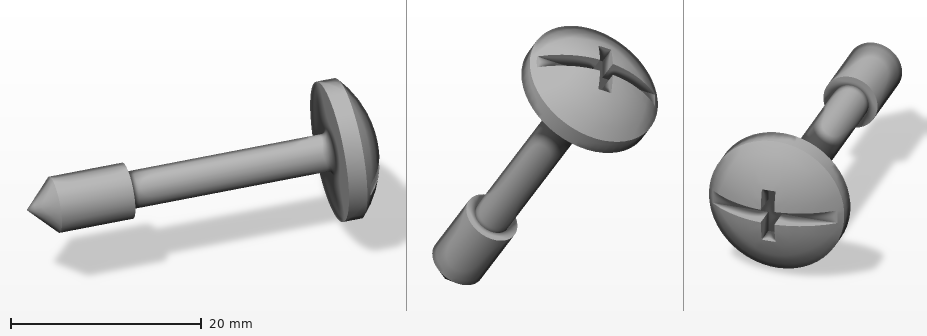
import cadquery as cq
import math

head_diameter = 15.0
rim_thickness = 2.0
dome_height = 3.022
shank_diameter = 4.0
shank_length = 22.0
neck_fillet = 0.5
tip_diameter = 6.0
tip_length = 8.0
point_height = 3.0

slot_width = 1.5
floor_above_rim = 0.5
cross_arm_length = 6.0

head_radius = head_diameter / 2
shank_radius = shank_diameter / 2
tip_radius = tip_diameter / 2
head_top = rim_thickness + dome_height
recess_floor = rim_thickness + floor_above_rim
slot_depth = head_top - recess_floor
tip_start = -shank_length
tip_end = tip_start - tip_length
point_end = tip_end - point_height
dome_radius = (head_radius**2 + dome_height**2) / (2 * dome_height)


def dome_point(radius):
    """Point of the dome profile at the given distance from the axis."""
    return (radius, head_top - dome_radius + math.sqrt(dome_radius**2 - radius**2))


def neck_midpoint():
    """Middle of the quarter arc that blends the shank into the head."""
    inset = neck_fillet * math.sin(math.radians(45))
    return (shank_radius + neck_fillet - inset, -neck_fillet + inset)


def make_body():
    """Head, shank and pointed tip, revolved about the Y axis."""
    profile = (
        cq.Workplane("XY")
        .moveTo(0, point_end)
        .lineTo(tip_radius, tip_end)
        .lineTo(tip_radius, tip_start)
        .lineTo(shank_radius, tip_start)
        .lineTo(shank_radius, -neck_fillet)
        .threePointArc(neck_midpoint(), (shank_radius + neck_fillet, 0))
        .lineTo(head_radius, 0)
        .lineTo(head_radius, rim_thickness)
        .threePointArc(dome_point(head_radius / 2), (0, head_top))
        .close()
    )
    return profile.revolve(360, (0, 0), (0, 1))


def recess_arm(size_x, size_z):
    """Rectangular cutter reaching from the top of the head to the recess floor."""
    return (
        cq.Workplane("XY")
        .box(size_x, slot_depth, size_z, centered=(True, False, True))
        .translate((0, recess_floor, 0))
    )


through_slot = recess_arm(head_diameter, slot_width)
cross_arm = recess_arm(slot_width, cross_arm_length)

result = make_body().cut(through_slot).cut(cross_arm)